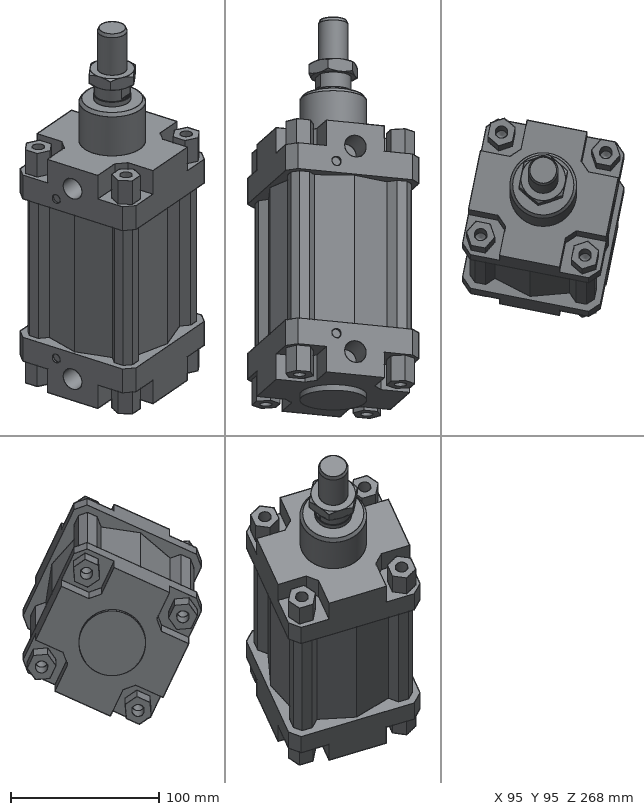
import cadquery as cq
import math

TOTAL_HEIGHT = 268.0

CAP_WIDTH = 95.0
CAP_HEIGHT = 36.2
CAP_CORNER_CHAMFER = 6.7
PLATE_THICKNESS = 18.2
CROSS_ARM_WIDTH = 41.3
POCKET_CHAMFER = 6.5

PORT_DIAMETER = 15.3
PORT_DEPTH = 21.5
PORT_FROM_END = 16.3
SCREW_RECESS_DIAMETER = 6.5
SCREW_RECESS_DEPTH = 1.5
SCREW_RECESS_FROM_END = 28.1
SCREW_RECESS_X = -13.5

TIE_ROD_OFFSET = 36.0
TIE_NUT_ACROSS_FLATS = 17.0
TIE_THREAD_DIAMETER = 8.3
TIE_THREAD_DEPTH = 16.0
DRILL_POINT_ANGLE = 118.0

SPIGOT_DIAMETER = 45.0
SPIGOT_HEIGHT = 4.0
BOSS_HEIGHT = 32.2
BOSS_CHAMFER_WIDTH = 2.0
BOSS_CHAMFER_HEIGHT = 2.5

BARREL_HEIGHT = 105.5
BARREL_RIDGE = 45.0
BARREL_CORNER_FACE = 43.0
CORNER_RIB_CHAMFER = 4.5
RIB_FACE_START = 31.0
RIB_FLANK = 5.4

ROD_DIAMETER = 25.2
COLLAR_HEIGHT = 4.0
COLLAR_CHAMFER = 0.5
NECK_DIAMETER = 24.5
ROD_WRENCH_FLATS = 22.0
FLATS_ABOVE_BOSS = 4.8
STUD_DIAMETER = 20.0
STUD_CHAMFER_WIDTH = 1.0
STUD_CHAMFER_HEIGHT = 2.5

LOCK_NUT_ACROSS_FLATS = 30.0
LOCK_NUT_HEIGHT = 8.8
LOCK_NUT_ABOVE_BOSS = 14.0
LOCK_NUT_CHAMFER_ANGLE = 30.0

REAR_CAP_TOP = SPIGOT_HEIGHT + CAP_HEIGHT
HEAD_CAP_BOTTOM = REAR_CAP_TOP + BARREL_HEIGHT
HEAD_CAP_TOP = HEAD_CAP_BOTTOM + CAP_HEIGHT
BOSS_TOP = HEAD_CAP_TOP + BOSS_HEIGHT
LOCK_NUT_BOTTOM = BOSS_TOP + LOCK_NUT_ABOVE_BOSS


def disc(diameter, bottom, height):
    return cq.Workplane("XY", origin=(0, 0, bottom)).circle(diameter / 2).extrude(height)


def hexagon_prism(across_flats, height):
    """Hexagonal prism standing on Z = 0 with two corners on the X axis."""
    across_corners = across_flats / math.cos(math.radians(30))
    return cq.Workplane("XY").polygon(6, across_corners).extrude(height)


def corner_pocket():
    """Corner pocket of the +X +Y quadrant, open upwards from the plate."""
    inner = CROSS_ARM_WIDTH / 2
    outer = CAP_WIDTH
    return (
        cq.Workplane("XY", origin=(0, 0, PLATE_THICKNESS))
        .polyline([
            (inner + POCKET_CHAMFER, inner),
            (outer, inner),
            (outer, outer),
            (inner, outer),
            (inner, inner + POCKET_CHAMFER),
        ])
        .close()
        .extrude(CAP_HEIGHT - PLATE_THICKNESS)
    )


def tie_thread():
    """Blind threaded hole with a drill point, its mouth at Z = CAP_HEIGHT."""
    radius = TIE_THREAD_DIAMETER / 2
    point_depth = radius / math.tan(math.radians(DRILL_POINT_ANGLE / 2))
    bottom = CAP_HEIGHT - TIE_THREAD_DEPTH
    return (
        cq.Workplane("XZ")
        .polyline([
            (0, CAP_HEIGHT),
            (radius, CAP_HEIGHT),
            (radius, bottom),
            (0, bottom - point_depth),
        ])
        .close()
        .revolve(360, (0, 0, 0), (0, 1, 0))
    )


def front_hole(diameter, depth, x, z):
    """Flat-bottomed hole going in from the -Y face of a cap."""
    return (
        cq.Workplane("XZ", origin=(x, -CAP_WIDTH / 2, z))
        .circle(diameter / 2)
        .extrude(-depth)
    )


def cap_blank():
    """Cap with pockets and tie rod nuts; plate on Z = 0, cross and nuts upwards."""
    cap = (
        cq.Workplane("XY")
        .rect(CAP_WIDTH, CAP_WIDTH)
        .extrude(CAP_HEIGHT)
        .edges("|Z")
        .chamfer(CAP_CORNER_CHAMFER)
    )
    nut_height = CAP_HEIGHT - PLATE_THICKNESS
    nut = (
        hexagon_prism(TIE_NUT_ACROSS_FLATS, nut_height)
        .translate((0, 0, PLATE_THICKNESS))
    )
    tie_place = (TIE_ROD_OFFSET, TIE_ROD_OFFSET, 0)
    pocket = corner_pocket()
    nut = nut.translate(tie_place)
    thread = tie_thread().translate(tie_place)
    for quadrant in range(4):
        turn = ((0, 0, 0), (0, 0, 1), 90 * quadrant)
        cap = cap.cut(pocket.rotate(*turn))
        cap = cap.union(nut.rotate(*turn))
        cap = cap.cut(thread.rotate(*turn))
    return cap


def make_cap():
    """Cap blank with the air port and the set-screw recess."""
    port = front_hole(PORT_DIAMETER, PORT_DEPTH, 0, CAP_HEIGHT - PORT_FROM_END)
    recess = front_hole(
        SCREW_RECESS_DIAMETER,
        SCREW_RECESS_DEPTH,
        SCREW_RECESS_X,
        CAP_HEIGHT - SCREW_RECESS_FROM_END,
    )
    return cap_blank().cut(port).cut(recess)


def make_barrel():
    """Profile barrel: ridged sides between four chamfered corner ribs."""
    rib_end = BARREL_CORNER_FACE - CORNER_RIB_CHAMFER
    side = [
        (0, BARREL_RIDGE),
        (RIB_FACE_START - RIB_FLANK, BARREL_CORNER_FACE - RIB_FLANK),
        (RIB_FACE_START, BARREL_CORNER_FACE),
        (rib_end, BARREL_CORNER_FACE),
    ]
    quadrant = side + [(y, x) for x, y in reversed(side[1:])]
    outline = []
    for _ in range(4):
        outline += quadrant
        quadrant = [(y, -x) for x, y in quadrant]
    return (
        cq.Workplane("XY", origin=(0, 0, REAR_CAP_TOP))
        .polyline(outline)
        .close()
        .extrude(BARREL_HEIGHT)
    )


def make_boss():
    return (
        disc(SPIGOT_DIAMETER, HEAD_CAP_TOP, BOSS_HEIGHT)
        .faces(">Z")
        .chamfer(BOSS_CHAMFER_HEIGHT, BOSS_CHAMFER_WIDTH)
    )


def make_housing():
    """Barrel, both caps, rear spigot and rod boss as one body."""
    cap = make_cap()
    head_cap = cap.translate((0, 0, HEAD_CAP_BOTTOM))
    rear_cap = cap.mirror("XY").translate((0, 0, REAR_CAP_TOP))
    return (
        make_barrel()
        .union(head_cap)
        .union(rear_cap)
        .union(disc(SPIGOT_DIAMETER, 0, SPIGOT_HEIGHT))
        .union(make_boss())
    )


def make_rod():
    """Collar on the boss, neck with two wrench flats, and the threaded stud."""
    collar = disc(ROD_DIAMETER, BOSS_TOP, COLLAR_HEIGHT).faces(">Z").chamfer(COLLAR_CHAMFER)
    neck = disc(NECK_DIAMETER, BOSS_TOP, LOCK_NUT_ABOVE_BOSS)
    flats_height = LOCK_NUT_ABOVE_BOSS - FLATS_ABOVE_BOSS
    for side in (-1, 1):
        flat_cut = (
            cq.Workplane("XY", origin=(side * ROD_WRENCH_FLATS, 0, BOSS_TOP + FLATS_ABOVE_BOSS))
            .rect(ROD_WRENCH_FLATS, ROD_DIAMETER)
            .extrude(flats_height)
        )
        neck = neck.cut(flat_cut)
    stud = (
        disc(STUD_DIAMETER, LOCK_NUT_BOTTOM, TOTAL_HEIGHT - LOCK_NUT_BOTTOM)
        .faces(">Z")
        .chamfer(STUD_CHAMFER_HEIGHT, STUD_CHAMFER_WIDTH)
    )
    return collar.union(neck).union(stud)


def make_lock_nut():
    """Hexagon nut with its corners coned off at both ends, bored to fit the stud."""
    flat_radius = LOCK_NUT_ACROSS_FLATS / 2
    corner_radius = flat_radius / math.cos(math.radians(30))
    drop = (corner_radius - flat_radius) * math.tan(math.radians(LOCK_NUT_CHAMFER_ANGLE))
    cone_envelope = (
        cq.Workplane("XZ")
        .polyline([
            (0, 0),
            (flat_radius, 0),
            (corner_radius, drop),
            (corner_radius, LOCK_NUT_HEIGHT - drop),
            (flat_radius, LOCK_NUT_HEIGHT),
            (0, LOCK_NUT_HEIGHT),
        ])
        .close()
        .revolve(360, (0, 0, 0), (0, 1, 0))
    )
    nut = hexagon_prism(LOCK_NUT_ACROSS_FLATS, LOCK_NUT_HEIGHT).intersect(cone_envelope)
    bore = disc(STUD_DIAMETER, 0, LOCK_NUT_HEIGHT)
    return nut.cut(bore).translate((0, 0, LOCK_NUT_BOTTOM))


housing = make_housing()
rod = make_rod()
lock_nut = make_lock_nut()

result = cq.Compound.makeCompound([housing.val(), rod.val(), lock_nut.val()])